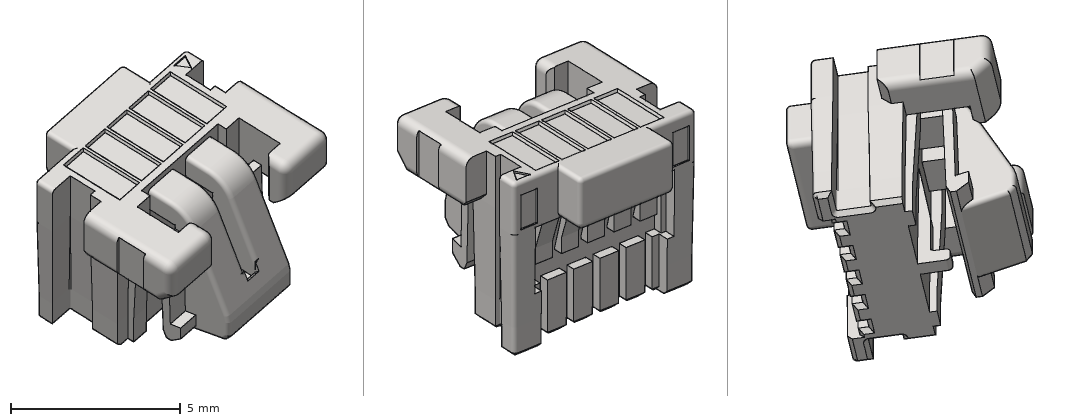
import cadquery as cq
import math


contacts = 5
pitch = 1.0

height = 6.0
head_bottom = 4.235
foot_height = 1.015
ledge_height = 1.94

flange_front = 1.045
flange_back = 1.72
shoulder_front = 2.67
arm_front = 3.08
body_back = 3.72
column_back = 4.045
arm_back = 6.49

nose_half = 1.795
flange_half = 3.475
waist_half = 2.66
shoulder_half = 2.86
arm_half = 3.65
arm_inner = 2.335
column_inner = 1.75

edge_radius = 0.145
nose_bottom_radius = 0.22
draft_angle = 0.8
bottom_chamfer = 0.145
overlap = 0.07


def block(x_range, y_range, z_range):
    """Box spanning the given (low, high) range on each axis."""
    ranges = (x_range, y_range, z_range)
    sizes = [high - low for low, high in ranges]
    return cq.Workplane().box(*sizes, centered=False).translate(tuple(low for low, _ in ranges))


def mirrored(solid):
    """The solid together with its mirror image across Y = 0."""
    return solid.union(solid.mirror("XZ"))


def plate(profile, y_low, y_high):
    """XZ profile extruded between two Y positions."""
    flat = cq.Workplane("XZ", origin=(0, y_low, 0)).polyline(profile).close()
    return flat.extrude(y_low - y_high)


def zone(x_range, y_range, z_range):
    """Selector for the objects whose centres lie inside the given ranges."""
    low, high = zip(x_range, y_range, z_range)
    return cq.selectors.BoxSelector(low, high)


def row(count):
    """Y positions of evenly pitched items centred on Y = 0."""
    return [(index - (count - 1) / 2) * pitch for index in range(count)]


def head():
    nose = block((0, flange_back), (-nose_half, nose_half), (head_bottom, height))
    nose = nose.edges("<Z and (not >X)").fillet(nose_bottom_radius)
    nose = nose.faces("<X or >Z").edges("not (>X or <Z)").fillet(edge_radius)
    flange = block((flange_front, flange_back), (-flange_half, flange_half), (head_bottom, height))
    flange = flange.edges("(<X and (not <Z)) or (|X and >Z)").fillet(edge_radius)
    z_range = (head_bottom, height)
    waist = block((flange_front + edge_radius, body_back), (-waist_half, waist_half), z_range)
    shoulder = block((shoulder_front, body_back), (-shoulder_half, shoulder_half), z_range)
    wing = mirrored(block((arm_front, column_back), (column_inner, arm_inner + overlap), z_range))
    return nose.union(flange).union(waist).union(shoulder).union(wing)


arm_round = 0.31
tip_front = 5.635
tip_inner = 1.63
tip_corner_chamfer = 0.175
arm_front_chamfer = 0.29
arm_back_chamfer = 0.51
arm_notch = (4.365, 5.39)
arm_notch_depth = 0.09


def arms():
    bar = block((arm_front, arm_back), (tip_inner, arm_half), (head_bottom, height))
    bar = bar.edges(">X and <Z").chamfer(arm_back_chamfer)
    bar = bar.cut(block((0, tip_front), (0, arm_inner), (0, 2 * height)))
    bar = bar.edges("|Z and <Y and (not >X)").chamfer(tip_corner_chamfer)
    outer = bar.faces(">Y").edges("not <X")
    back = bar.faces(">X").edges("not <Z")
    tip = bar.faces(">Z").edges("<Y")
    bar = outer.add(back).add(tip).fillet(arm_round)
    front_bevel = [
        (arm_front, head_bottom),
        (arm_front, head_bottom + arm_front_chamfer),
        (arm_front + arm_front_chamfer, head_bottom),
    ]
    bar = bar.cut(plate(front_bevel, arm_inner, arm_half))
    notch = block(arm_notch, (arm_half - arm_notch_depth, arm_half + overlap), (0, 2 * height))
    return mirrored(bar.cut(notch))


rib_front = 1.46
front_wall = 1.78
recess_half = 2.48
foot_gap_half = 2.4
end_rib_inner = 2.14
rib_width = 0.715
wall_lean_bottom = 2.72
wall_lean_top = 1.39
seat_width = 0.65
seat_bottom = 2.65
seat_step = 3.19
seat_top = 4.15
seat_lean_top = 1.15


def front_recess():
    upper = (ledge_height, head_bottom)
    lower = (0, ledge_height)
    recess = block((0, rib_front), (-waist_half, waist_half), upper)
    recess = recess.union(block((0, front_wall), (-recess_half, recess_half), upper))
    recess = recess.union(block((0, rib_front), (-foot_gap_half, foot_gap_half), lower))
    recess = recess.union(block((0, front_wall), (-end_rib_inner, end_rib_inner), lower))
    for y in row(contacts - 1):
        recess = recess.cut(block((rib_front, front_wall), (y - rib_width / 2, y + rib_width / 2), lower))
    leaning_wall = [
        (front_wall, wall_lean_bottom),
        (front_wall, head_bottom),
        (wall_lean_top, head_bottom),
    ]
    recess = recess.cut(plate(leaning_wall, -recess_half, recess_half))
    seat = [
        (front_wall, seat_bottom),
        (rib_front, seat_bottom),
        (rib_front, seat_step),
        (seat_lean_top, seat_top),
        (seat_lean_top, head_bottom),
        (front_wall, head_bottom),
    ]
    for y in row(contacts):
        recess = recess.cut(plate(seat, y - seat_width / 2, y + seat_width / 2))
    return recess


def lower_body():
    side = [
        (flange_front, flange_half),
        (flange_back, flange_half),
        (flange_back, waist_half),
        (shoulder_front, waist_half),
        (shoulder_front, shoulder_half),
        (body_back, shoulder_half),
    ]
    outline = side + [(x, -y) for x, y in reversed(side)]
    body = cq.Workplane("XY", origin=(0, 0, head_bottom)).polyline(outline).close()
    body = body.extrude(foot_height - head_bottom, taper=draft_angle)
    body = body.faces("<Z").wires().toPending().extrude(-foot_height)
    body_x = (0, flange_front + overlap)
    body_z = (0, head_bottom)
    corners = zone(body_x, (waist_half, arm_half), body_z) + zone(body_x, (-arm_half, -waist_half), body_z)
    body = body.edges(corners).fillet(edge_radius)
    body = body.faces("<Z").edges("not >X").chamfer(bottom_chamfer)
    body = body.cut(front_recess())
    rib_x = (rib_front - overlap, front_wall + overlap)
    rib_feet = zone(rib_x, (-foot_gap_half + overlap, foot_gap_half - overlap), (-overlap, overlap))
    return body.edges(rib_feet).chamfer(bottom_chamfer)


column_foot_back = 3.905


def columns():
    profile = [
        (shoulder_front, 0),
        (column_foot_back, 0),
        (column_foot_back, foot_height),
        (column_back, head_bottom),
        (shoulder_front, head_bottom),
    ]
    return mirrored(plate(profile, column_inner, arm_inner))


hook_half = 0.21
hook_tip = 4.66
hook_height = 0.49
hook_radius = 0.145
stem_back = 4.06
stem_top = 1.97
stem_slope_top = 4.16


def stop_hook():
    profile = [
        (shoulder_front, 0),
        (hook_tip, 0),
        (hook_tip, hook_height),
        (stem_back, hook_height),
        (stem_back, stem_top),
        (body_back, stem_slope_top),
        (shoulder_front, stem_slope_top),
    ]
    hook = plate(profile, -hook_half, hook_half)
    tip_x = (stem_back - overlap, hook_tip + overlap)
    tip = zone(tip_x, (-hook_half, hook_half), (-overlap, hook_height + overlap))
    return hook.edges("|Y").edges(tip).fillet(hook_radius)


strap_top = 5.77
strap_bottom = 4.965
latch_half = 1.45
bend_start = 4.56
bend_radius = 1.03
leg_front = 4.77
leg_foot_front = 4.885
leg_foot_height = 1.08
toe_front = 5.01
toe_back = 5.2
toe_bottom = 0.81
heel = (6.665, 1.24)
grip_back = 6.85
grip_low = 1.5
grip_high = 2.08
slope_foot = (6.78, 2.335)
slope_angle = math.radians(65.6)
latch_radius = 0.145
slot_half = 0.255
slot_floor = 2.41
slot_back = 6.425
slot_lip = 6.57
barb_half = 2.145
leg_back = 5.07
leg_foot_back = 5.16
barb_low = 1.13
barb_high = 1.605
barb_root = 1.505
barb_back = 5.56
leg_top = 4.82


def latch():
    bend_end = (
        bend_start + bend_radius * math.sin(slope_angle),
        strap_top - bend_radius * (1 - math.cos(slope_angle)),
    )
    bend_mid = (
        bend_start + bend_radius * math.sin(slope_angle / 2),
        strap_top - bend_radius * (1 - math.cos(slope_angle / 2)),
    )
    lever = (
        cq.Workplane("XZ", origin=(0, latch_half, 0))
        .moveTo(body_back - overlap, strap_top)
        .lineTo(bend_start, strap_top)
        .threePointArc(bend_mid, bend_end)
        .lineTo(*slope_foot)
        .lineTo(grip_back, grip_high)
        .lineTo(grip_back, grip_low)
        .lineTo(*heel)
        .lineTo(toe_back, toe_bottom)
        .lineTo(toe_front, toe_bottom)
        .lineTo(leg_foot_front, leg_foot_height)
        .lineTo(leg_front, strap_bottom)
        .lineTo(body_back - overlap, strap_bottom)
        .close()
        .extrude(2 * latch_half)
    )
    strap_middle = (strap_top + strap_bottom) / 2
    across = (-latch_half - overlap, latch_half + overlap)
    strap_edges = zone((body_back, toe_back), across, (strap_middle, height))
    lever_edges = zone((toe_back, grip_back + overlap), across, (0, height))
    lever = lever.faces("<Y or >Y").edges(strap_edges + lever_edges).fillet(latch_radius)
    slot = block((0, slot_back), (-slot_half, slot_half), (slot_floor, height))
    lever = lever.cut(slot)
    inside = (-slot_half - latch_radius / 2, slot_half + latch_radius / 2)
    strap_sides = zone((body_back, toe_back), inside, (strap_middle, height))
    slope_sides = zone((toe_back, grip_back), inside, (slot_floor + overlap, height))
    slot_sides = lever.edges("not (|Y or |Z)").edges(strap_sides + slope_sides)
    lever = slot_sides.fillet(latch_radius)
    slope = slope_foot[0] - bend_end[0], bend_end[1] - slope_foot[1]
    lip_z = slope_foot[1] + (slope_foot[0] - slot_lip) * slope[1] / slope[0]
    lip = [
        (slot_back, lip_z - latch_radius),
        (slot_lip, lip_z),
        (slot_back, height),
    ]
    lever = lever.cut(plate(lip, -slot_half, slot_half))
    leg = [
        (leg_front, leg_top),
        (leg_foot_front, leg_foot_height),
        (toe_front, toe_bottom),
        (toe_back, toe_bottom),
        (barb_back, barb_low),
        (barb_back, barb_high),
        (leg_foot_back, barb_root),
        (leg_back, leg_top),
    ]
    return lever.union(plate(leg, -barb_half, barb_half).cut(slot))


pocket_x = (1.29, 3.47)
pocket_width = 0.9
pocket_depth = 0.09
pocket_taper = 30


def top_pockets():
    length = pocket_x[1] - pocket_x[0]
    centres = [(sum(pocket_x) / 2, y) for y in row(contacts)]
    pockets = cq.Workplane("XY", origin=(0, 0, height)).pushPoints(centres)
    return pockets.rect(length, pocket_width).extrude(-pocket_depth, taper=pocket_taper)


triangle = [(1.21, 3.235), (1.67, 2.98), (1.21, 2.715)]
mark_depth = 0.06
panel_y = (2.585, 3.21)
panel_z = (4.35, 5.54)


def marks():
    arrow = cq.Workplane("XY", origin=(0, 0, height)).polyline(triangle).close().extrude(-mark_depth)
    panel = block((0, flange_front + mark_depth), panel_y, panel_z)
    return mirrored(panel).union(arrow)


housing = head().union(arms()).cut(top_pockets()).cut(marks())
result = housing.union(lower_body()).union(columns()).union(stop_hook()).union(latch())